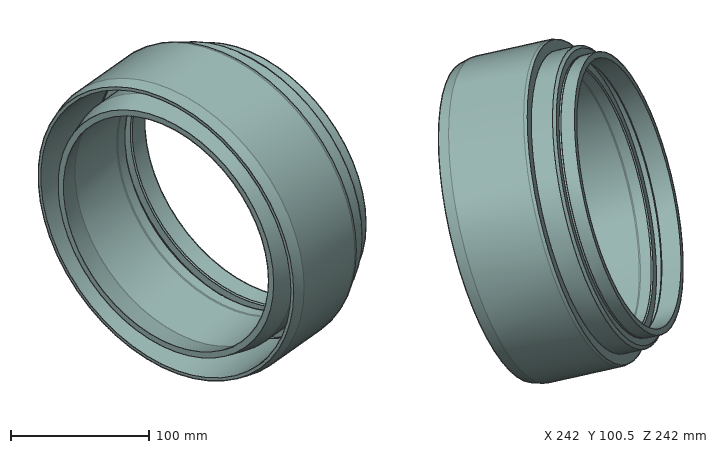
import cadquery as cq
import math

total_length = 100.55
front_y = -total_length / 2
taper = math.tan(math.radians(15))

sleeve_diameter = 242.0
sleeve_front_chamfer = 9.0
sleeve_length = 70.0
sleeve_back_chamfer = 2.5
collar_diameter = 224.8
collar_end_diameter = 220.0
collar_chamfer = 2.0
collar_length = 18.5
spigot_diameter = 209.7
neck_diameter = 209.4
neck_length = 1.5

recess_diameter = 232.0
recess_depth = 65.0
recess_corner_bevel = 0.6
lip_tip_diameter = 200.0
lip_diameter = 209.4
lip_root_diameter = 209.7

mouth_diameter = 190.2
chamber_diameter = 200.9
seat_diameter = 200.6
chamber_end = 68.0
seat_start = 69.0
groove_diameter = 216.0
groove_start = 78.4
groove_end = 84.7
groove_edge_chamfer = 1.0


def revolve_profile(points):
    """Solid of revolution about Y from (diameter, distance from front face) pairs."""
    outline = [(diameter / 2, front_y + distance) for diameter, distance in points]
    return cq.Workplane("XY").polyline(outline).close().revolve(360, (0, 0, 0), (0, 1, 0))


def taper_run(small_diameter, large_diameter):
    """Axial length of a cone between two diameters."""
    return (large_diameter - small_diameter) / 2 / taper


def make_body():
    collar_end = sleeve_length + collar_length
    return revolve_profile([
        (0, 0),
        (sleeve_diameter - 2 * sleeve_front_chamfer * taper, 0),
        (sleeve_diameter, sleeve_front_chamfer),
        (sleeve_diameter, sleeve_length - sleeve_back_chamfer),
        (sleeve_diameter - 2 * sleeve_back_chamfer * taper, sleeve_length),
        (collar_diameter, sleeve_length),
        (collar_diameter, collar_end - collar_chamfer),
        (collar_end_diameter, collar_end),
        (neck_diameter, collar_end),
        (neck_diameter, collar_end + neck_length),
        (spigot_diameter, collar_end + neck_length),
        (spigot_diameter, total_length),
        (0, total_length),
    ])


def make_recess():
    return revolve_profile([
        (lip_tip_diameter, 0),
        (recess_diameter, 0),
        (recess_diameter, recess_depth - recess_corner_bevel),
        (recess_diameter - 2 * recess_corner_bevel, recess_depth),
        (lip_root_diameter, recess_depth),
        (lip_diameter, taper_run(lip_tip_diameter, lip_diameter)),
    ])


def make_bore():
    return revolve_profile([
        (0, 0),
        (mouth_diameter, 0),
        (chamber_diameter, taper_run(mouth_diameter, chamber_diameter)),
        (chamber_diameter, chamber_end),
        (seat_diameter, seat_start),
        (seat_diameter, total_length),
        (0, total_length),
    ])


def make_seal_groove():
    shoulder_diameter = seat_diameter + 2 * groove_edge_chamfer
    return revolve_profile([
        (0, groove_start - groove_edge_chamfer),
        (seat_diameter, groove_start - groove_edge_chamfer),
        (shoulder_diameter, groove_start),
        (groove_diameter, groove_start),
        (groove_diameter, groove_end),
        (shoulder_diameter, groove_end),
        (seat_diameter, groove_end + groove_edge_chamfer),
        (0, groove_end + groove_edge_chamfer),
    ])


result = make_body().cut(make_recess()).cut(make_bore()).cut(make_seal_groove())